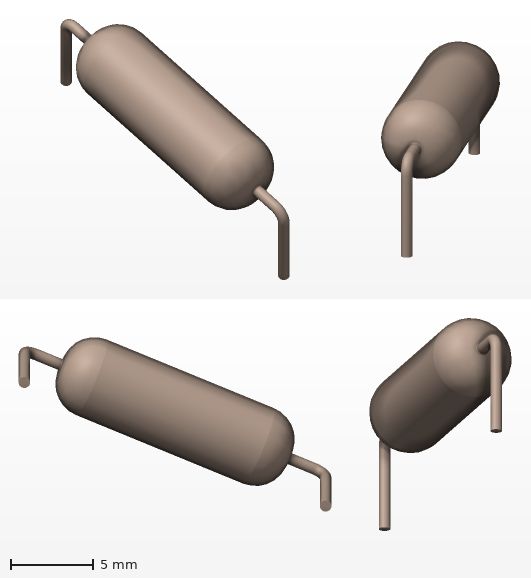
import cadquery as cq

overall_length = 20.7
wire_diameter = 0.7
drop_depth = 6.06
capsule_diameter = 4.97
capsule_length = 15.1
end_rounding = 2.0
collar_fillet = 0.1
bend_radius = 0.8
bend_to_joint = 0.43
embedded_length = 2.0

wire_radius = wire_diameter / 2
capsule_radius = capsule_diameter / 2
capsule_half = capsule_length / 2
foot_x = overall_length / 2 - wire_radius
bend_end_x = foot_x - bend_radius
joint_x = bend_end_x - bend_to_joint
stub_inner_x = capsule_half - embedded_length
stub_length = joint_x - stub_inner_x
SIDES = (-1, 1)


def make_stub(side):
    """Straight wire from inside the capsule out to the joint."""
    start = cq.Plane(origin=(side * stub_inner_x, 0, 0), normal=(side, 0, 0))
    return cq.Workplane(start).circle(wire_radius).extrude(stub_length)


def make_capsule():
    """Cylinder with rounded ends, concave collars and blind wire sockets."""
    capsule = (
        cq.Workplane("YZ", origin=(-capsule_half, 0, 0))
        .circle(capsule_radius)
        .extrude(capsule_length)
        .edges()
        .fillet(end_rounding)
    )
    for side in SIDES:
        capsule = capsule.union(make_collar(side)).cut(make_stub(side))
    return capsule


def make_collar(side):
    """Ring whose concave arc runs from the wire surface to the capsule end."""
    outer_x = side * (capsule_half + collar_fillet)
    end_x = side * capsule_half
    outer_radius = wire_radius + collar_fillet
    arc_offset = collar_fillet * (1 - 0.5 ** 0.5)
    return (
        cq.Workplane("XY")
        .moveTo(end_x, 0)
        .lineTo(outer_x, 0)
        .lineTo(outer_x, wire_radius)
        .threePointArc(
            (end_x + side * arc_offset, wire_radius + arc_offset),
            (end_x, outer_radius),
        )
        .close()
        .revolve(360, (0, 0, 0), (1, 0, 0))
    )


def make_bent_lead(side):
    """Wire from the joint through a right-angle bend down to the foot."""
    bend_offset = bend_radius * 0.5 ** 0.5
    bend_middle = (side * (bend_end_x + bend_offset), bend_offset - bend_radius)
    path = (
        cq.Workplane("XZ")
        .moveTo(side * joint_x, 0)
        .lineTo(side * bend_end_x, 0)
        .threePointArc(bend_middle, (side * foot_x, -bend_radius))
        .lineTo(side * foot_x, -drop_depth)
    )
    start = cq.Plane(origin=(side * joint_x, 0, 0), normal=(side, 0, 0))
    return cq.Workplane(start).circle(wire_radius).sweep(path)


capsule = make_capsule()
stubs = [make_stub(side).val() for side in SIDES]
bent_leads = [make_bent_lead(side).val() for side in SIDES]

result = cq.Compound.makeCompound([capsule.val(), *stubs, *bent_leads])